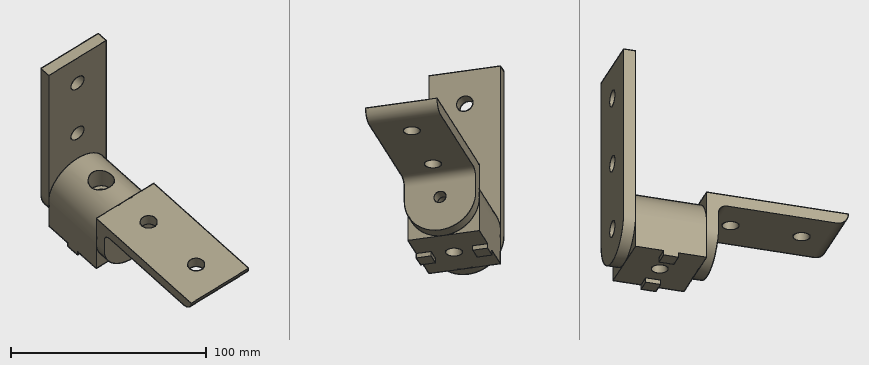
import cadquery as cq

total_length = 120.6
width = 38.1
plate_thickness = 6.4
plate_height = 114.3

mounting_hole_diameter = 8.7
pivot_bore_diameter = 6.4
counterbore_diameter = 13.4
counterbore_depth = 12.1

inner_fillet_radius = 4.7
tab_size = 8.0
tab_height = 2.5

half_width = width / 2
pivot_height = half_width
hole_pitch = width
block_start = plate_thickness
block_end = block_start + width
block_middle = (block_start + block_end) / 2
arm_top = pivot_height + half_width
arm_holes_x = [total_length - half_width - hole_pitch, total_length - half_width]
plate_holes_z = [pivot_height + index * hole_pitch for index in range(3)]


def box_between(x_start, x_end, z_bottom, z_top):
    """Full-width box, centred on the XZ plane."""
    return cq.Workplane("XY").box(
        x_end - x_start, width, z_top - z_bottom, centered=(False, True, False)
    ).translate((x_start, 0, z_bottom))


def cylinder_along_x(x_start, x_end, height, diameter):
    """Cylinder parallel to X at the given height."""
    return (
        cq.Workplane("YZ", origin=(x_start, 0, height))
        .circle(diameter / 2)
        .extrude(x_end - x_start)
    )


def cylinder_along_z(x, z_bottom, z_top, diameter):
    """Vertical cylinder on the middle of the width."""
    return (
        cq.Workplane("XY", origin=(x, 0, z_bottom))
        .circle(diameter / 2)
        .extrude(z_top - z_bottom)
    )


def make_upright_plate():
    """Tall plate with a round lower end and three holes."""
    plate = box_between(0, plate_thickness, pivot_height, plate_height)
    plate = plate.union(cylinder_along_x(0, plate_thickness, pivot_height, width))
    for height in plate_holes_z:
        plate = plate.cut(cylinder_along_x(0, plate_thickness, height, mounting_hole_diameter))
    return plate


def make_pivot_block():
    """Round-topped block with crossing bores and two tabs under its base."""
    block = box_between(block_start, block_end, 0, pivot_height)
    block = block.union(cylinder_along_x(block_start, block_end, pivot_height, width))

    block = block.cut(cylinder_along_x(block_start, block_end, pivot_height, pivot_bore_diameter))
    block = block.cut(cylinder_along_z(block_middle, 0, arm_top, mounting_hole_diameter))
    counterbore_floor = arm_top - counterbore_depth
    block = block.cut(cylinder_along_z(block_middle, counterbore_floor, arm_top, counterbore_diameter))

    for side in (-1, 1):
        tab = (
            cq.Workplane("XY", origin=(block_middle, side * (half_width - tab_size / 2), 0))
            .rect(tab_size, tab_size)
            .extrude(-tab_height)
        )
        block = block.union(tab)
    return block


def make_angle_arm():
    """L-shaped arm: a round-ended leg on the block and a horizontal arm with two holes."""
    leg_outer = block_end + plate_thickness
    arm_bottom = arm_top - plate_thickness
    tip_radius = plate_thickness
    tip_round_start = total_length - tip_radius
    profile = (
        cq.Workplane("XZ", origin=(0, half_width, 0))
        .moveTo(block_end, pivot_height)
        .lineTo(block_end, arm_top)
        .lineTo(total_length, arm_top)
        .radiusArc((tip_round_start, arm_bottom), tip_radius)
        .lineTo(leg_outer + inner_fillet_radius, arm_bottom)
        .radiusArc((leg_outer, arm_bottom - inner_fillet_radius), -inner_fillet_radius)
        .lineTo(leg_outer, pivot_height)
        .close()
    )
    arm = profile.extrude(width)
    arm = arm.union(cylinder_along_x(block_end, leg_outer, pivot_height, width))
    arm = arm.cut(cylinder_along_x(block_end, leg_outer, pivot_height, pivot_bore_diameter))
    for x in arm_holes_x:
        arm = arm.cut(cylinder_along_z(x, arm_bottom, arm_top, mounting_hole_diameter))
    return arm


upright_plate = make_upright_plate()
pivot_block = make_pivot_block()
angle_arm = make_angle_arm()

result = cq.Compound.makeCompound([
    upright_plate.solids().val(),
    pivot_block.solids().val(),
    angle_arm.solids().val(),
])